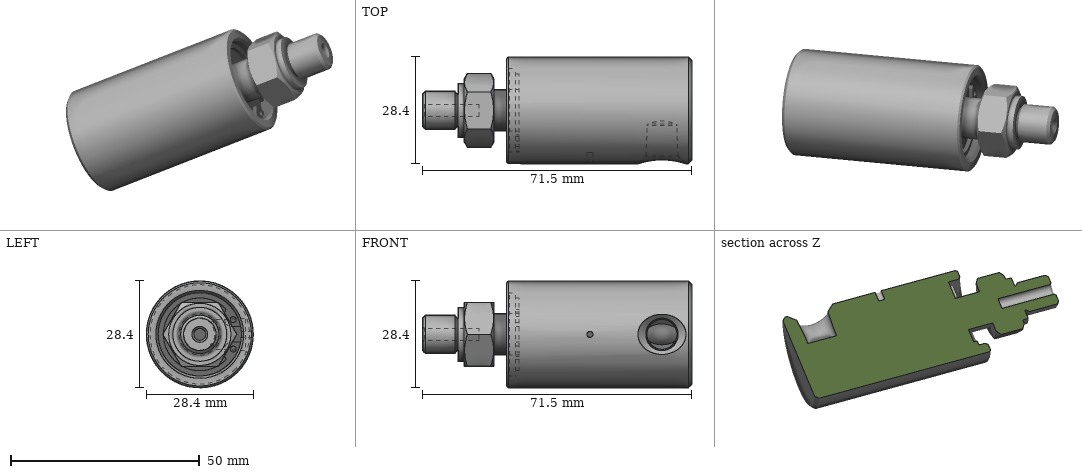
import cadquery as cq
import math

total_length = 71.48
thread_end = 8.6
flange_start = 9.45
nut_start = 11.0
nut_end = 19.0
body_start = 22.25

stem_diameter = 10.15
stem_chamfer = 0.75
runout_middle = (8.95, 4.55)
runout_end_diameter = 8.4
stem_bore_diameter = 3.2
stem_bore_mouth_diameter = 4.2
stem_bore_depth = 15.0
flange_diameter = 14.3
shaft_diameter = 11.0

nut_sides = 6
nut_across_flats = 17.0
nut_chamfer_diameter = 16.5
nut_chamfer_angle = 30.0

body_diameter = 28.37
front_chamfer = 0.5
rear_chamfer = 1.0

recess_diameter = 22.07
recess_mouth_diameter = 23.3
recess_mouth_depth = 0.8
recess_depth = 3.4
recess_floor = body_start + recess_depth

ring_inner_diameter = 19.3
ring_thickness = 1.0
ring_front = recess_floor - ring_thickness
ring_gap = 4.14
lug_inner_y = 6.6
lug_root_y = 7.0
lug_root_z = 6.67
lug_flank_z = 5.9
lug_corner_radius = 1.8
lug_hole_diameter = 1.57
lug_hole_y = 8.87
lug_hole_z = 3.9

port_x = 63.5
port_diameter = 8.6
port_mouth_diameter = 12.74
port_taper_depth = 8.0
port_drill_diameter = 7.95
port_drill_depth = 10.6
port_drill_tip_angle = 118.0
port_core_diameter = port_drill_diameter
vent_x = 44.4
vent_diameter = 1.6
vent_depth = 3.0


def cylinder_x(diameter, start, end):
    """Cylinder on the X axis between two X positions."""
    return cq.Workplane("YZ", origin=(start, 0, 0)).circle(diameter / 2).extrude(end - start)


def cone_x(start_diameter, end_diameter, start, end):
    """Cone frustum on the X axis between two X positions."""
    outline = [(start, 0), (start, start_diameter / 2), (end, end_diameter / 2), (end, 0)]
    return cq.Workplane("XY").polyline(outline).close().revolve(360, (0, 0, 0), (1, 0, 0))


def make_stem():
    """Chamfered stem with a concave runout, its flange and the shaft that enters the body."""
    radius = stem_diameter / 2
    outline = (
        cq.Workplane("XY")
        .lineTo(0, radius - stem_chamfer)
        .lineTo(stem_chamfer, radius)
        .lineTo(thread_end, radius)
        .threePointArc(runout_middle, (flange_start, runout_end_diameter / 2))
        .lineTo(flange_start, 0)
        .close()
    )
    stem = outline.revolve(360, (0, 0, 0), (1, 0, 0))
    flange = cylinder_x(flange_diameter, flange_start, nut_start)
    shaft = cylinder_x(shaft_diameter, nut_start, recess_floor)
    return stem.union(flange).union(shaft)


def make_nut():
    """Hexagon with corners on the Y axis and conical chamfers on both faces."""
    across_corners = nut_across_flats / math.cos(math.pi / nut_sides)
    nut_length = nut_end - nut_start
    nut = cq.Workplane("YZ", origin=(nut_start, 0, 0)).polygon(nut_sides, across_corners).extrude(nut_length)
    face_radius = nut_chamfer_diameter / 2
    rim_radius = across_corners / 2
    rise = (rim_radius - face_radius) * math.tan(math.radians(nut_chamfer_angle))
    envelope_outline = [
        (nut_start, 0),
        (nut_start, face_radius),
        (nut_start + rise, rim_radius),
        (nut_end - rise, rim_radius),
        (nut_end, face_radius),
        (nut_end, 0),
    ]
    envelope = cq.Workplane("XY").polyline(envelope_outline).close().revolve(360, (0, 0, 0), (1, 0, 0))
    return nut.intersect(envelope)


def make_body():
    """Chamfered cylinder with a tapered mouth and a round recess in its front face."""
    body = cylinder_x(body_diameter, body_start, total_length)
    body = body.faces("<X").chamfer(front_chamfer).faces(">X").chamfer(rear_chamfer)
    mouth_end = body_start + recess_mouth_depth
    body = body.cut(cone_x(recess_mouth_diameter, recess_diameter, body_start, mouth_end))
    return body.cut(cylinder_x(recess_diameter, mouth_end, recess_floor))


def make_lug(side):
    """One ring lug beside the gap; side is +1 above and -1 below the XY plane."""
    gap_edge = ring_gap / 2
    corner_cut = lug_corner_radius * (1 - math.sqrt(0.5))
    outer_y = recess_diameter / 2
    lug = (
        cq.Workplane("YZ", origin=(ring_front, 0, 0))
        .moveTo(-outer_y, side * gap_edge)
        .lineTo(-lug_inner_y - lug_corner_radius, side * gap_edge)
        .threePointArc(
            (-lug_inner_y - corner_cut, side * (gap_edge + corner_cut)),
            (-lug_inner_y, side * (gap_edge + lug_corner_radius)),
        )
        .lineTo(-lug_inner_y, side * lug_flank_z)
        .lineTo(-lug_root_y, side * lug_root_z)
        .lineTo(-outer_y, side * lug_root_z)
        .close()
        .extrude(ring_thickness)
    )
    hole = (
        cq.Workplane("YZ", origin=(ring_front, 0, 0))
        .center(-lug_hole_y, side * lug_hole_z)
        .circle(lug_hole_diameter / 2)
        .extrude(ring_thickness)
    )
    return lug.cut(hole)


def make_retaining_ring():
    """Open ring whose two lugs face each other across a gap on the -Y side."""
    disc = cylinder_x(recess_diameter, ring_front, recess_floor)
    ring = disc.cut(cylinder_x(ring_inner_diameter, ring_front, recess_floor))
    lug_zone = (
        cq.Workplane("YZ", origin=(ring_front, 0, 0))
        .moveTo(-recess_diameter / 2, -lug_root_z)
        .hLineTo(-lug_root_y)
        .vLineTo(lug_root_z)
        .hLineTo(-recess_diameter / 2)
        .close()
        .extrude(ring_thickness)
    )
    ring = ring.cut(lug_zone)
    for side in (1, -1):
        ring = ring.union(make_lug(side).intersect(disc))
    return ring


def cut_port(part):
    """Countersunk, tapered blind port around the round core that stands in its floor."""
    mouth_radius = port_mouth_diameter / 2
    port_radius = port_diameter / 2
    drill_radius = port_drill_diameter / 2
    mouth_y = -body_diameter / 2
    tip_length = drill_radius / math.tan(math.radians(port_drill_tip_angle / 2))
    outline = [
        (port_x, mouth_y),
        (port_x + mouth_radius, mouth_y),
        (port_x + port_radius, mouth_y + mouth_radius - port_radius),
        (port_x + drill_radius, mouth_y + port_taper_depth),
        (port_x + drill_radius, mouth_y + port_drill_depth),
        (port_x, mouth_y + port_drill_depth + tip_length),
    ]
    port = cq.Workplane("XY").polyline(outline).close().revolve(360, (port_x, 0, 0), (port_x, 1, 0))
    core = cylinder_x(port_core_diameter, port_x - mouth_radius, port_x + mouth_radius)
    return part.cut(port.cut(core))


def cut_vent(part):
    """Small blind hole in the -Y side of the body."""
    vent = (
        cq.Workplane("XZ", origin=(vent_x, -body_diameter / 2, 0))
        .circle(vent_diameter / 2)
        .extrude(-vent_depth)
    )
    return part.cut(vent)


def cut_stem_bore(part):
    """Countersunk blind bore in the end of the stem."""
    mouth_depth = (stem_bore_mouth_diameter - stem_bore_diameter) / 2
    mouth = cone_x(stem_bore_mouth_diameter, stem_bore_diameter, 0, mouth_depth)
    return part.cut(mouth).cut(cylinder_x(stem_bore_diameter, 0, stem_bore_depth))


result = make_body().union(make_stem()).union(make_nut()).union(make_retaining_ring())
result = cut_port(result)
result = cut_vent(result)
result = cut_stem_bore(result)